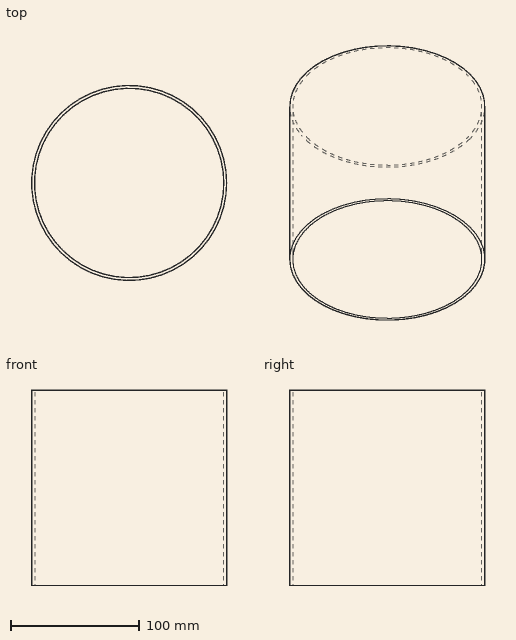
import cadquery as cq

inner_diameter = 147.32
wall_thickness = 2.4
height = 152.4

outer_diameter = inner_diameter + 2 * wall_thickness

result = (
    cq.Workplane("XY")
    .circle(outer_diameter / 2)
    .circle(inner_diameter / 2)
    .extrude(height)
)